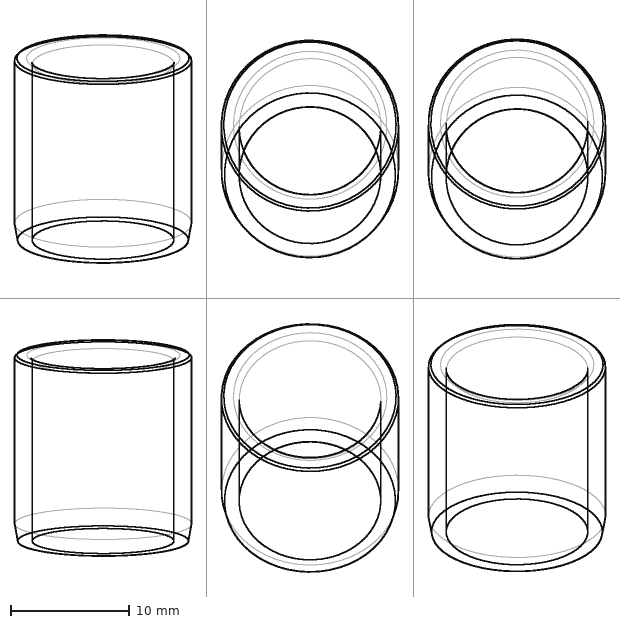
import cadquery as cq
import math

height = 16.0
outer_diameter = 15.0
bore_diameter = 12.0
top_chamfer = 0.2
bore_edge_radius = 0.5
lead_in_height = 1.5
lead_in_angle = 10.0

outer_radius = outer_diameter / 2
lead_in_radius = outer_radius - lead_in_height * math.tan(math.radians(lead_in_angle))


def bushing_body():
    """Revolved outside of the bushing, with a tapered lead-in at the bottom."""
    return (
        cq.Workplane("XZ")
        .moveTo(0, 0)
        .lineTo(lead_in_radius, 0)
        .lineTo(outer_radius, lead_in_height)
        .lineTo(outer_radius, height - top_chamfer)
        .lineTo(outer_radius - top_chamfer, height)
        .lineTo(0, height)
        .close()
        .revolve(360, (0, 0, 0), (0, 1, 0))
    )


def cut_bore(body):
    """Through bore with a rounded mouth at the top."""
    bored = body.faces(">Z").workplane().hole(bore_diameter)
    mouth_edge = cq.selectors.RadiusNthSelector(0)
    return bored.faces(">Z").edges(mouth_edge).fillet(bore_edge_radius)


result = cut_bore(bushing_body())